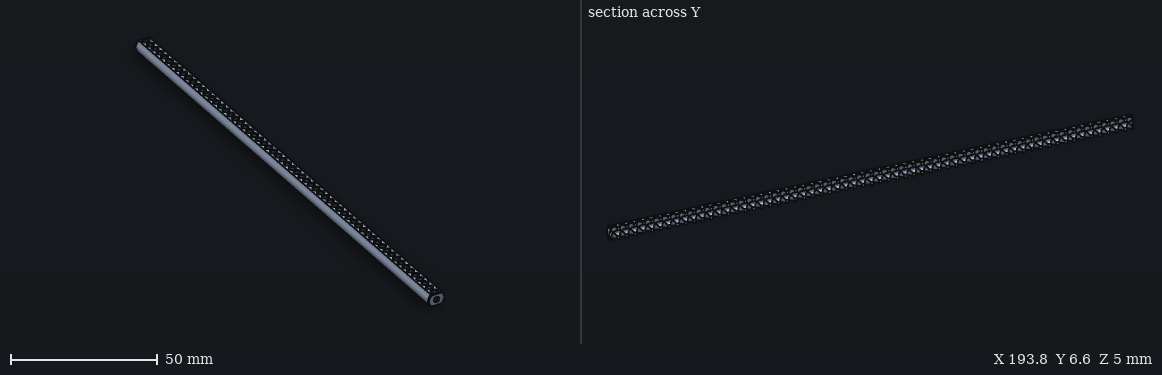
import cadquery as cq
import math

LENGTH = 193.75
ROD_DIAMETER = 6.6
ACROSS_FLATS = 5.0
END_CHAMFER = 0.3

HOLE_COUNT = 62
HOLE_PITCH = LENGTH / HOLE_COUNT
HOLE_DIAMETER = 2.0
COUNTERSINK_DIAMETER = 2.6
COUNTERSINK_DEPTH = (COUNTERSINK_DIAMETER - HOLE_DIAMETER) / 2

BORE_DIAMETER = 2.0


def flatted_rod():
    """Round bar trimmed to two flats facing +Z and -Z, with chamfered ends."""
    rod_radius = ROD_DIAMETER / 2
    half_flat_height = ACROSS_FLATS / 2
    half_flat_width = math.sqrt(rod_radius**2 - half_flat_height**2)
    profile = (
        cq.Workplane("YZ")
        .moveTo(-half_flat_width, half_flat_height)
        .lineTo(half_flat_width, half_flat_height)
        .threePointArc((rod_radius, 0), (half_flat_width, -half_flat_height))
        .lineTo(-half_flat_width, -half_flat_height)
        .threePointArc((-rod_radius, 0), (-half_flat_width, half_flat_height))
        .close()
    )
    return profile.extrude(LENGTH).faces("<X or >X").chamfer(END_CHAMFER)


def countersunk_hole_cutter():
    """Cross hole along Z with a cone opening out to each flat, revolved about the Z axis."""
    top = ACROSS_FLATS / 2
    cone_end = top - COUNTERSINK_DEPTH
    return (
        cq.Workplane("XZ")
        .moveTo(0, top)
        .lineTo(COUNTERSINK_DIAMETER / 2, top)
        .lineTo(HOLE_DIAMETER / 2, cone_end)
        .lineTo(HOLE_DIAMETER / 2, -cone_end)
        .lineTo(COUNTERSINK_DIAMETER / 2, -top)
        .lineTo(0, -top)
        .close()
        .revolve(360, (0, 0, 0), (0, 1, 0))
    )


def cross_holes():
    """One cutter per pitch, each centred in its own pitch along the rod."""
    cutter = countersunk_hole_cutter().val()
    holes = cq.Workplane("XY")
    for index in range(HOLE_COUNT):
        hole_x = (index + 0.5) * HOLE_PITCH
        holes = holes.add(cutter.translate(cq.Vector(hole_x, 0, 0)))
    return holes.combine(glue=True)


def axial_bore():
    """Round bore along the rod axis, from end to end."""
    return cq.Workplane("YZ").circle(BORE_DIAMETER / 2).extrude(LENGTH)


result = flatted_rod().cut(cross_holes()).cut(axial_bore())